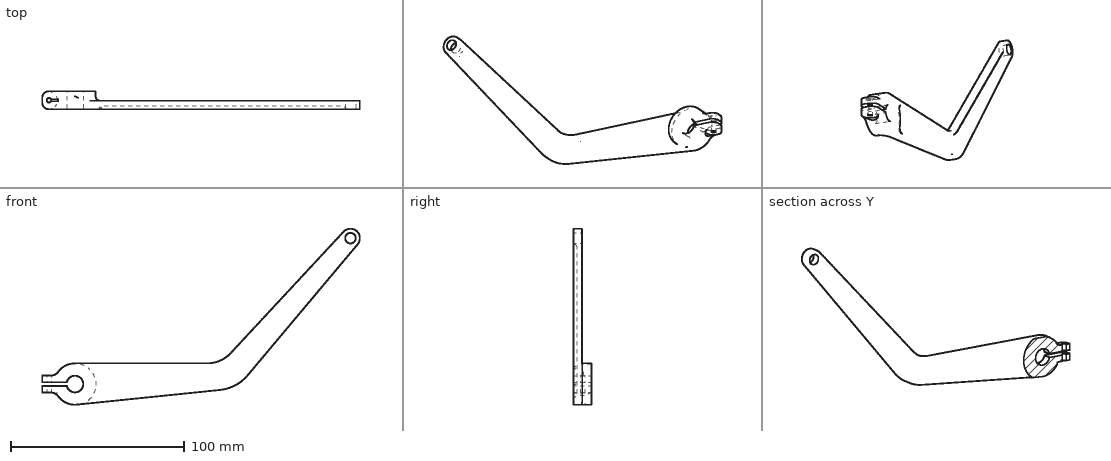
import cadquery as cq
import math

head_depth = 10.5
hub_radius = 12.0
bore_radius = 4.75
ear_end_x = -19.0
ear_half_height = 5.0
ear_end_round = 4.0
neck_round = 5.0
slot_width = 2.0

screw_x = ear_end_x + ear_end_round
screw_hole_radius = 1.25
screw_seat_radius = 4.8
mark_width = 1.0
mark_depth = 0.3

arm_thickness = 5.0
hub_root_round = 2.5
tip_centre = (159.01, 84.19)
tip_radius = 5.5
tip_hole_radius = 3.0
inner_bend_corner = (84.4, hub_radius)
outer_bend_corner = (93.4, -2.5)
inner_bend_radius = 18.5
outer_bend_radius = 24.0

edge_break = 0.5

pocket_depth = 2.0
pocket_floor_round = 3.0
pocket_corner_round = 3.1
wall_inset = 2.4
pocket_hub_radius = hub_radius + wall_inset
pocket_tip_gap = 4.9

hub_centre = (0.0, 0.0)
neck_centre_x = -math.sqrt((hub_radius + neck_round) ** 2 - (ear_half_height + neck_round) ** 2)
neck_centre_z = ear_half_height + neck_round
neck_end_x = neck_centre_x * hub_radius / (hub_radius + neck_round)


def tangent_point(outside, centre, radius, side):
    """Touching point on a circle of the line from an outside point; side is +1 or -1."""
    dx = outside[0] - centre[0]
    dz = outside[1] - centre[1]
    angle = math.atan2(dz, dx) + side * math.acos(radius / math.hypot(dx, dz))
    return (centre[0] + radius * math.cos(angle), centre[1] + radius * math.sin(angle))


def midpoint(a, b):
    return ((a[0] + b[0]) / 2, (a[1] + b[1]) / 2)


hub_bottom = tangent_point(outer_bend_corner, hub_centre, hub_radius, -1)
tip_upper = tangent_point(inner_bend_corner, tip_centre, tip_radius, -1)
tip_lower = tangent_point(outer_bend_corner, tip_centre, tip_radius, 1)
bend_middle = midpoint(inner_bend_corner, outer_bend_corner)
arm_angle = math.atan2(tip_centre[1] - bend_middle[1], tip_centre[0] - bend_middle[0])
tip_end = (
    tip_centre[0] + tip_radius * math.cos(arm_angle),
    tip_centre[1] + tip_radius * math.sin(arm_angle),
)


def front_plane():
    """Sketch plane on the front face: local axes are X and Z."""
    return cq.Workplane("XZ")


def cylinder(centre, radius, depth):
    """Cylinder from the front face back into the part."""
    return front_plane().center(*centre).circle(radius).extrude(-depth)


def near(point, y):
    """Selector for the edge nearest to an (X, Z) point at the given Y."""
    return cq.selectors.NearestToPointSelector((point[0], y, point[1]))


def around(centre, reach):
    """Selector for everything within reach of an (X, Z) point, at any Y."""
    low = (centre[0] - reach, -head_depth, centre[1] - reach)
    high = (centre[0] + reach, 2 * head_depth, centre[1] + reach)
    return cq.selectors.BoxSelector(low, high)


def make_head():
    """Hub with a pair of round-ended ears, joined by concave necks."""
    ears = (
        cq.Workplane("XY")
        .box(-ear_end_x, head_depth, 2 * ear_half_height, centered=(False, False, True))
        .translate((ear_end_x, 0, 0))
        .edges("|Z and <X")
        .fillet(ear_end_round)
    )
    head = cylinder(hub_centre, hub_radius, head_depth).union(ears)
    corner_x = -math.sqrt(hub_radius**2 - ear_half_height**2)
    for corner_z in (ear_half_height, -ear_half_height):
        head = head.edges(near((corner_x, corner_z), head_depth / 2)).fillet(neck_round)
    return head


def make_arm(thickness):
    """Tapered arm from the hub centre to the round tip, with rounded bends."""
    arm = (
        front_plane()
        .moveTo(*hub_centre)
        .lineTo(0, hub_radius)
        .lineTo(*inner_bend_corner)
        .lineTo(*tip_upper)
        .threePointArc(tip_end, tip_lower)
        .lineTo(*outer_bend_corner)
        .lineTo(*hub_bottom)
        .close()
        .extrude(-thickness)
    )
    arm = arm.edges(near(inner_bend_corner, thickness / 2)).fillet(inner_bend_radius)
    return arm.edges(near(outer_bend_corner, thickness / 2)).fillet(outer_bend_radius)


def make_hub_root():
    """Flared disc that blends the hub into the back face of the arm."""
    flare_radius = hub_radius + hub_root_round
    flare_top = arm_thickness + hub_root_round
    arc_inset = hub_root_round * math.sqrt(0.5)
    flare = (
        cq.Workplane("XY")
        .lineTo(flare_radius, 0)
        .lineTo(flare_radius, arm_thickness)
        .threePointArc((flare_radius - arc_inset, flare_top - arc_inset), (hub_radius, flare_top))
        .lineTo(0, flare_top)
        .close()
        .revolve(360, (0, 0), (0, 1))
    )
    return flare.intersect(make_arm(flare_top))


def make_pocket():
    """Pocket inset from the arm outline, concentric with the hub and squared off before the tip hole.

    Its floor round is larger than the pocket is deep, so the tool starts in front of the arm.
    """
    tool_depth = 2 * pocket_floor_round
    outline = make_arm(tool_depth).faces("<Y").wires().toPending().offset2D(-wall_inset)
    pocket = outline.extrude(-tool_depth, combine=False)
    pocket = pocket.cut(cylinder(hub_centre, pocket_hub_radius, tool_depth))
    cutoff_size = 4 * tip_radius
    beyond_end = (
        cq.Workplane("XY")
        .box(cutoff_size, cutoff_size, cutoff_size)
        .translate((cutoff_size / 2 - pocket_tip_gap, 0, 0))
        .rotate((0, 0, 0), (0, 1, 0), -math.degrees(arm_angle))
        .translate((tip_centre[0], 0, tip_centre[1]))
    )
    pocket = pocket.cut(beyond_end)
    for end_centre, reach in ((hub_centre, pocket_hub_radius), (tip_centre, 2 * tip_radius)):
        pocket = pocket.edges("|Y").edges(around(end_centre, reach)).fillet(pocket_corner_round)
    pocket = pocket.faces(">Y").edges().fillet(pocket_floor_round)
    return pocket.translate((0, pocket_depth - tool_depth, 0))


def make_mark():
    """Shallow groove along the upper neck that deepens toward the hub."""
    groove = cylinder((neck_centre_x + mark_depth, neck_centre_z), neck_round, head_depth)
    length = neck_end_x - neck_centre_x
    window = (
        cq.Workplane("XY")
        .box(length, mark_width, neck_round, centered=(False, True, False))
        .translate((neck_centre_x, head_depth / 2, ear_half_height))
    )
    return groove.intersect(window)


def break_outer_edges(body):
    """Round the tangent chain around the front and head, then the back edge of the arm."""
    body = body.faces(">Y").edges().fillet(edge_break)
    return body.edges(near(midpoint(inner_bend_corner, tip_upper), arm_thickness)).fillet(edge_break)


def cut_pocket(body):
    body = body.cut(make_pocket())
    upper_rim = (inner_bend_corner[0] / 2, hub_radius - wall_inset)
    return body.edges(near(upper_rim, 0)).fillet(edge_break)


def cut_bore_and_tip_hole(body):
    body = body.cut(cylinder(hub_centre, bore_radius, head_depth))
    body = body.edges("%CIRCLE").edges(around(hub_centre, bore_radius)).fillet(edge_break)
    return body.cut(cylinder(tip_centre, tip_hole_radius, arm_thickness))


def cut_clamp(body):
    """Slit between the ears, the screw hole through both and the seat under the lower one."""
    slit = cq.Workplane("XY").box(-ear_end_x, head_depth, slot_width, centered=(False, False, True))
    body = body.cut(slit.translate((ear_end_x, 0, 0)))
    ear_underside = cq.Workplane("XY", origin=(screw_x, head_depth / 2, -ear_half_height))
    body = body.cut(ear_underside.circle(screw_hole_radius).extrude(2 * ear_half_height))
    body = body.cut(ear_underside.circle(screw_seat_radius).extrude(-ear_half_height))
    return body.cut(make_mark())


body = make_head().union(make_arm(arm_thickness)).union(make_hub_root())
body = break_outer_edges(body)
body = cut_pocket(body)
body = cut_bore_and_tip_hole(body)
result = cut_clamp(body)